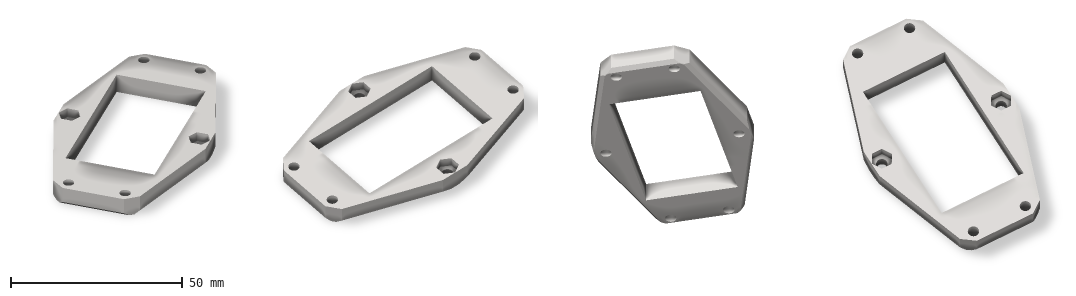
import cadquery as cq
import math

length = 75.5
width = 46.9
thickness = 6.0
end_flat = 18.9
shoulder_width = 26.8
corner_drop = 2.95
side_flat = 9.3
long_bevel = 1.1
short_bevel = 0.15

window_width = 27.5
window_length = 46.95
window_offset = 1.05

hole_diameter = 3.3
end_hole_spacing_x = 17.4
end_hole_spacing_y = 69.0
side_hole_spacing = 40.0
nut_across_flats = 5.8
nut_pocket_depth = 3.0

half_length = length / 2
half_width = width / 2
shoulder_x = shoulder_width / 2
shoulder_y = half_length - corner_drop
side_y = side_flat / 2


quarter = [
    (half_width, side_y),
    (shoulder_x, shoulder_y),
    (end_flat / 2, half_length),
]
upper = quarter + [(-x, y) for x, y in reversed(quarter)]
lower = [(-x, -y) for x, y in upper]
outline = lower[-1:] + upper + lower[:-1]


def make_plate():
    return cq.Workplane("XY").polyline(outline).close().extrude(thickness)


def bevel_cutter(start, end, bevel):
    """Triangular bar that bevels the bottom edge along a line with the plate on its left.

    It runs past both ends, so it also trims the short neighbouring faces.
    """
    run_x = end[0] - start[0]
    run_y = end[1] - start[1]
    middle = ((start[0] + end[0]) / 2, (start[1] + end[1]) / 2, 0)
    bar_length = math.hypot(run_x, run_y) + length
    inward = (-run_y, run_x, 0)
    profile_plane = cq.Plane(origin=middle, xDir=inward, normal=(-run_x, -run_y, 0))
    return (
        cq.Workplane(profile_plane)
        .polyline([(0, 0), (bevel, 0), (0, -bevel)])
        .close()
        .extrude(bar_length / 2, both=True)
    )


def bevel_bottom(plate):
    edges = list(zip(outline, outline[1:] + outline[:1]))
    for short_edge, long_edge in zip(edges[0::2], edges[1::2]):
        plate = plate.cut(bevel_cutter(*short_edge, short_bevel))
        plate = plate.cut(bevel_cutter(*long_edge, long_bevel))
    return plate


def window_cutter():
    return (
        cq.Workplane("XY")
        .center(0, window_offset)
        .rect(window_width, window_length)
        .extrude(thickness)
    )


def hole_cutters():
    end_holes = cq.Workplane("XY").rect(end_hole_spacing_x, end_hole_spacing_y, forConstruction=True)
    side_holes = cq.Workplane("XY").rarray(side_hole_spacing, 0.75, 2, 1)
    cutters = end_holes.vertices().circle(hole_diameter / 2).extrude(thickness)
    return cutters.union(side_holes.circle(hole_diameter / 2).extrude(thickness))


def nut_pocket_cutters():
    across_corners = nut_across_flats / math.cos(math.pi / 6)
    return (
        cq.Workplane("XY")
        .workplane(offset=thickness - nut_pocket_depth)
        .rarray(side_hole_spacing, 0.75, 2, 1)
        .polygon(6, across_corners)
        .extrude(nut_pocket_depth)
    )


result = bevel_bottom(make_plate())
result = result.cut(window_cutter()).cut(hole_cutters()).cut(nut_pocket_cutters())